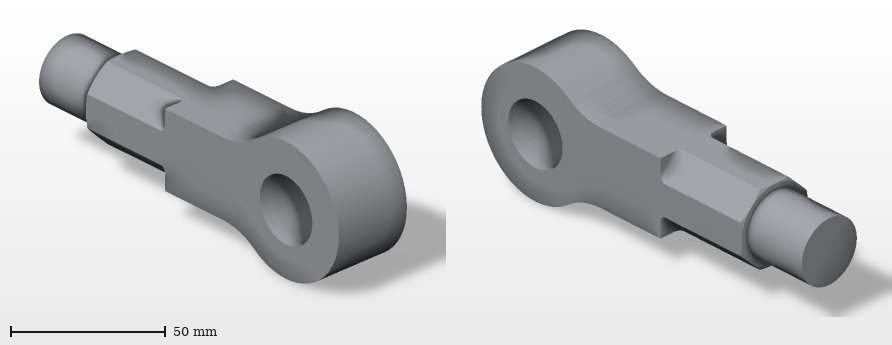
import cadquery as cq
import math

total_length = 145.0
bar_width = 30.0
eye_diameter = 50.0
hole_diameter = 25.0
pin_diameter = 25.0
pin_length = 25.0
neck_start = 90.0
flats_end = 62.5
flat_fillet_radius = 2.0
end_chamfer_angle = 30.0

half_width = bar_width / 2
eye_radius = eye_diameter / 2
eye_x = total_length - eye_radius

neck_run = eye_x - neck_start
neck_radius = (neck_run**2 + half_width**2 - eye_radius**2) / (2 * (eye_radius - half_width))
neck_center_z = half_width + neck_radius
joint_fraction = eye_radius / (eye_radius + neck_radius)
joint_x = eye_x - neck_run * joint_fraction
joint_z = neck_center_z * joint_fraction
neck_mid_angle = math.atan2(neck_run, neck_center_z) / 2
neck_mid_x = neck_start + neck_radius * math.sin(neck_mid_angle)
neck_mid_z = neck_center_z - neck_radius * math.cos(neck_mid_angle)


def make_bar_and_eye():
    """Square bar blending into the eye, with the hole along Y."""
    outline = (
        cq.Workplane("XZ")
        .moveTo(pin_length, -half_width)
        .lineTo(neck_start, -half_width)
        .threePointArc((neck_mid_x, -neck_mid_z), (joint_x, -joint_z))
        .threePointArc((total_length, 0), (joint_x, joint_z))
        .threePointArc((neck_mid_x, neck_mid_z), (neck_start, half_width))
        .lineTo(pin_length, half_width)
        .close()
    )
    body = outline.extrude(half_width, both=True)
    hole = cq.Workplane("XZ").center(eye_x, 0).circle(hole_diameter / 2).extrude(bar_width, both=True)
    return body.cut(hole)


def make_corner_cutter(angle):
    """Cutter for one octagon flat, rounded where it meets its end wall."""
    fillet_start = flats_end - flat_fillet_radius
    fillet_top = half_width + flat_fillet_radius
    arc_offset = flat_fillet_radius * math.sqrt(0.5)
    cutter = (
        cq.Workplane("XZ")
        .moveTo(0, half_width)
        .lineTo(fillet_start, half_width)
        .threePointArc((fillet_start + arc_offset, fillet_top - arc_offset), (flats_end, fillet_top))
        .lineTo(flats_end, bar_width)
        .lineTo(0, bar_width)
        .close()
        .extrude(half_width, both=True)
    )
    return cutter.rotate((0, 0, 0), (1, 0, 0), angle)


def make_end_chamfer_cutter():
    """Conical ring that trims the octagon corners at the pin shoulder."""
    ring_outer_radius = bar_width
    ring_depth = (ring_outer_radius - half_width) * math.tan(math.radians(end_chamfer_angle))
    return (
        cq.Workplane("XZ")
        .moveTo(pin_length, half_width)
        .lineTo(pin_length, ring_outer_radius)
        .lineTo(pin_length + ring_depth, ring_outer_radius)
        .close()
        .revolve(360, (0, 0), (1, 0))
    )


body = make_bar_and_eye()
for corner_angle in (45, 135, 225, 315):
    body = body.cut(make_corner_cutter(corner_angle))
body = body.cut(make_end_chamfer_cutter())

pin = cq.Workplane("YZ").circle(pin_diameter / 2).extrude(pin_length)
result = body.union(pin)